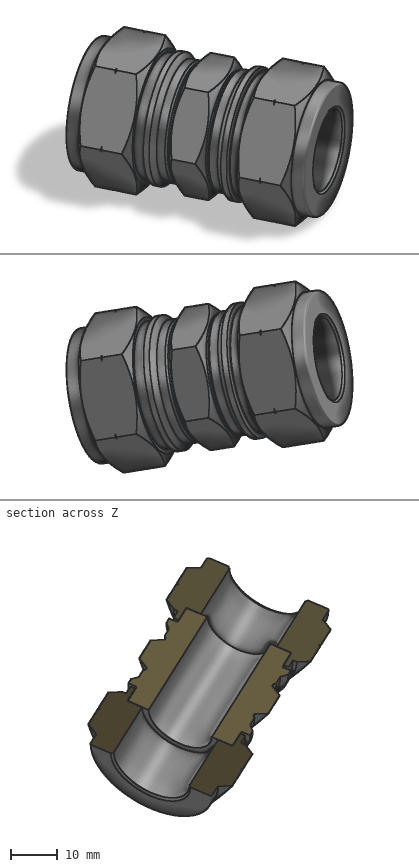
import cadquery as cq
import math

LENGTH = 54.55
HALF_LENGTH = LENGTH / 2
COLLAR_D = 29.35
HEX_CHAMFER = math.radians(30)

NUT_HEX_AF = 30.0
NUT_HEX_FACE_D = 29.5
NUT_HEX_START = 3.0
NUT_HEX_END = 15.35
NUT_LENGTH = 17.35
NUT_EDGE_R = 0.55
RIM_D = 27.8
RIM_EDGE_R = 0.2
TUBE_HOLE_D = 18.15
TUBE_HOLE_CHAMFER = 0.5
SPIGOT_START = 13.65
NOTCH_DEPTH = 0.35
NOTCH_WIDTH = 0.35

BORE_D = 15.1
SPIGOT_D = 25.4
BARREL_D = 26.9
BODY_HEX_AF = BARREL_D
BODY_HEX_HALF = 4.15
NECK_D = 26.0
BARREL_START = 4.6
BARREL_CHAMFER = (BARREL_D - NECK_D) / 2
FLANGE_FACE = 9.5
FLANGE_WIDTH = 1.3
FLANGE_TAPER = (COLLAR_D - BARREL_D) / 2


def revolve(points):
    """Turn a closed (x, radius) outline about the X axis."""
    return cq.Workplane("XY").polyline(points).close().revolve(360, (0, 0, 0), (1, 0, 0))


def cylinder(diameter, start, end):
    return cq.Workplane("YZ", origin=(start, 0, 0)).circle(diameter / 2).extrude(end - start)


def corner_radius(across_flats):
    return across_flats / 2 / math.cos(math.pi / 6)


def chamfered_hex(across_flats, face_d, start, end):
    """Hexagon with corners on +/-Y, its ends coned down to round faces of diameter face_d."""
    face_r = face_d / 2
    corner_r = corner_radius(across_flats)
    cone_length = (corner_r - face_r) * math.tan(HEX_CHAMFER)
    prism = cq.Workplane("YZ", origin=(start, 0, 0)).polygon(6, 2 * corner_r).extrude(end - start)
    envelope = revolve([
        (start, 0),
        (start, face_r),
        (start + cone_length, corner_r),
        (end - cone_length, corner_r),
        (end, face_r),
        (end, 0),
    ])
    return prism.intersect(envelope)


def v_groove(centre, outer_r, depth, width):
    """Ring cutter with a V section whose mouth lies at outer_r."""
    return revolve([
        (centre - width / 2, outer_r),
        (centre, outer_r - depth),
        (centre + width / 2, outer_r),
    ])


def make_nut():
    """Nut with its outer end at x = 0, opening toward +X."""
    collar = cylinder(COLLAR_D, 0, NUT_HEX_END).faces("<X").edges().fillet(NUT_EDGE_R)
    rim = cylinder(RIM_D, NUT_HEX_START, NUT_LENGTH).faces(">X").edges().fillet(RIM_EDGE_R)
    nut = collar.union(rim).union(chamfered_hex(NUT_HEX_AF, NUT_HEX_FACE_D, NUT_HEX_START, NUT_HEX_END))

    corner_r = corner_radius(NUT_HEX_AF)
    notch_centre = (NUT_HEX_START + NUT_HEX_END) / 2
    nut = nut.cut(v_groove(notch_centre, corner_r, NOTCH_DEPTH, NOTCH_WIDTH))

    hole_r = TUBE_HOLE_D / 2
    tube_hole = revolve([
        (0, 0),
        (0, hole_r + TUBE_HOLE_CHAMFER),
        (TUBE_HOLE_CHAMFER, hole_r),
        (NUT_LENGTH, hole_r),
        (NUT_LENGTH, 0),
    ])
    return nut.cut(tube_hole).cut(cylinder(SPIGOT_D, SPIGOT_START, NUT_LENGTH))


def make_body():
    """Fitting body: spigots, tapered flanges, barrels, neck and central hexagon around a through bore."""
    spigot_end = HALF_LENGTH - SPIGOT_START
    flange_inner = FLANGE_FACE - FLANGE_WIDTH
    body = cylinder(SPIGOT_D, -spigot_end, spigot_end)
    body = body.union(cylinder(NECK_D, -FLANGE_FACE, FLANGE_FACE))
    for side in (-1, 1):
        body = body.union(revolve([
            (side * BARREL_START, 0),
            (side * BARREL_START, NECK_D / 2),
            (side * (BARREL_START + BARREL_CHAMFER), BARREL_D / 2),
            (side * (flange_inner - FLANGE_TAPER), BARREL_D / 2),
            (side * flange_inner, COLLAR_D / 2),
            (side * FLANGE_FACE, COLLAR_D / 2),
            (side * FLANGE_FACE, 0),
        ]))
    body = body.union(chamfered_hex(BODY_HEX_AF, NECK_D, -BODY_HEX_HALF, BODY_HEX_HALF))
    return body.cut(cylinder(BORE_D, -spigot_end, spigot_end))


body = make_body()

nuts = []
for turn in (0, 180):
    nut = make_nut().translate((-HALF_LENGTH, 0, 0)).rotate((0, 0, 0), (0, 0, 1), turn)
    nuts.append(nut.val())

result = cq.Compound.makeCompound([body.val(), *nuts])